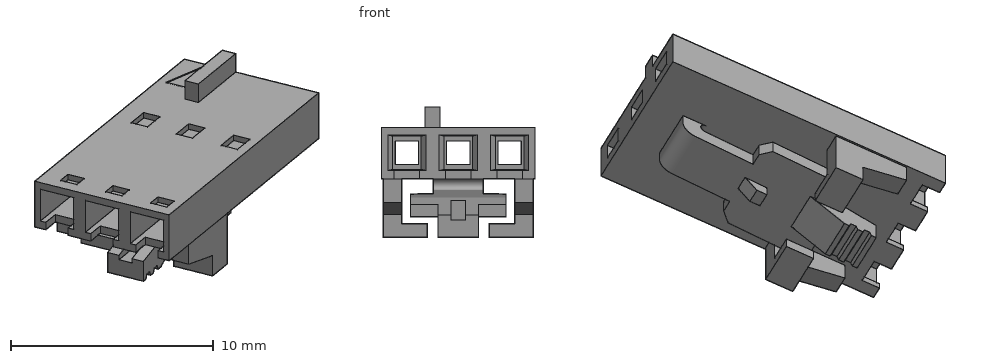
import cadquery as cq
import math


body_width = 7.59
body_length = 15.24
body_height = 2.54
contact_pitch = 2.54
contact_columns = [-contact_pitch, 0, contact_pitch]

cavity_height_center = 1.29
mouth_width = 1.88
mouth_height = 1.76
mouth_depth = 10.0
taper_end_width = 1.41
taper_end_height = 1.64
taper_length = 0.27
passage_size = 1.14

floor_slot_width = 1.26
floor_slot_length = 0.97

window_offset = 0.28
window_width = 0.92
window_depth = 0.3
front_window_start = 0.69
front_window_length = 0.76
rear_window_start = 7.89
rear_window_length = 1.27

key_left = -1.65
key_width = 0.76
key_length = 3.81
key_height = 1.02
triangle_width = 1.63
triangle_length = 2.55
triangle_rear_gap = 0.1
triangle_depth = 0.05

underside_depth = 2.89
leg_outer = 3.715
leg_thickness = 0.93
leg_rear = 6.08
leg_lower_front = 4.565
leg_upper_front = 2.135
leg_ramp_top = -1.157
leg_ramp_bottom = -1.76
foot_inner = 1.52
foot_height = 0.675

arm_rear = 13.315
arm_root_thickness = 1.0
arm_gap_radius = 0.285
arm_root_radius = 0.74
arm_angle = math.radians(3.4)
arm_slope = math.tan(arm_angle)
gap_center_y = arm_rear - arm_root_thickness - arm_gap_radius
gap_end_y = gap_center_y + arm_gap_radius * math.sin(arm_angle)
gap_end_z = -arm_gap_radius * (1 + math.cos(arm_angle))
arm_thickness = 0.865
arm_front = leg_lower_front
arm_half_width = 1.235
wing_half_width = 2.365
wing_rear = 9.4
wing_chamfer = 0.5

pad_front = 2.4
pad_half_width = 1.01
pad_front_top = -1.79
pad_slope = math.tan(math.radians(13.4))
pad_underside_slope = math.tan(math.radians(30))
pad_underside_start = 4.175
pad_slot_width = 0.74
pad_slot_floor = -2.03
pad_slot_rear = 5.45

groove_centers = [2.91, 3.67]
groove_mouth = 0.48
groove_floor = 0.29
groove_depth = 0.233

catch_width = 0.74
catch_front = 8.17
catch_tip_rear = 8.73
catch_ramp_rear = 9.39
catch_bottom = -2.285


def box(x_start, x_end, y_start, y_end, z_start, z_end):
    size = (x_end - x_start, y_end - y_start, z_end - z_start)
    corner = (x_start, y_start, z_start)
    return cq.Workplane("XY").box(*size, centered=False).translate(corner)


def side_extrusion(points, x_start, x_end):
    """Extrude a (Y, Z) outline from x_start to x_end."""
    return cq.Workplane("YZ", origin=(x_start, 0, 0)).polyline(points).close().extrude(x_end - x_start)


def arm_top(y):
    """Height of the sloping upper face of the latch arm."""
    return gap_end_z - (gap_end_y - y) * arm_slope


def arm_bottom(y):
    """Height of the latch arm's lower face, parallel to its upper face."""
    return arm_top(y) - arm_thickness


def pad_top(y):
    """Height of the ramp that rises from the pad's front edge to the arm."""
    return pad_front_top + (y - pad_front) * pad_slope


def contact_cavity(x):
    mouth = (
        cq.Workplane("XZ", origin=(x, 0, cavity_height_center))
        .rect(mouth_width, mouth_height)
        .extrude(-mouth_depth)
    )
    taper = (
        cq.Workplane("XZ", origin=(x, mouth_depth, cavity_height_center))
        .rect(mouth_width, mouth_height)
        .workplane(offset=-taper_length)
        .rect(taper_end_width, taper_end_height)
        .loft(ruled=True)
    )
    passage = (
        cq.Workplane("XZ", origin=(x, 0, cavity_height_center))
        .rect(passage_size, passage_size)
        .extrude(-body_length)
    )
    half_slot = floor_slot_width / 2
    floor_slot = box(x - half_slot, x + half_slot, 0, floor_slot_length, 0, cavity_height_center)
    return mouth.union(taper).union(passage).union(floor_slot)


def window(x, y_start, length):
    left = x + window_offset - window_width / 2
    return box(left, left + window_width, y_start, y_start + length, body_height - window_depth, body_height)


def triangle_mark():
    tip_y = body_length - triangle_rear_gap
    base_y = tip_y - triangle_length
    tip_x = -contact_pitch
    corners = [
        (tip_x, tip_y),
        (tip_x - triangle_width / 2, base_y),
        (tip_x + triangle_width / 2, base_y),
    ]
    floor = cq.Workplane("XY", origin=(0, 0, body_height - triangle_depth))
    return floor.polyline(corners).close().extrude(triangle_depth)


def housing_body():
    half_width = body_width / 2
    body = box(-half_width, half_width, 0, body_length, 0, body_height)
    for x in contact_columns:
        body = body.cut(contact_cavity(x))
        body = body.cut(window(x, front_window_start, front_window_length))
        body = body.cut(window(x, rear_window_start, rear_window_length))
    key = box(
        key_left,
        key_left + key_width,
        body_length - key_length,
        body_length,
        body_height,
        body_height + key_height,
    )
    return body.cut(triangle_mark()).union(key)


def guard_leg():
    """Leg on the +X side, with its foot turned in under the latch."""
    outline = [
        (leg_rear, 0),
        (leg_rear, -underside_depth),
        (leg_lower_front, -underside_depth),
        (leg_lower_front, leg_ramp_bottom),
        (leg_upper_front, leg_ramp_top),
        (leg_upper_front, 0),
    ]
    leg = side_extrusion(outline, leg_outer - leg_thickness, leg_outer)
    foot_top = foot_height - underside_depth
    foot = box(foot_inner, leg_outer, leg_lower_front, leg_rear, -underside_depth, foot_top)
    return leg.union(foot)


def latch_arm():
    """Side profile of the arm, trimmed to a plan that widens into chamfered wings."""
    ramp_end_y = (arm_top(0) - pad_top(0)) / (pad_slope - arm_slope)
    profile = (
        cq.Workplane("YZ", origin=(-wing_half_width, 0, 0))
        .moveTo(gap_center_y, 0)
        .threePointArc(
            (gap_center_y + arm_gap_radius, -arm_gap_radius),
            (gap_end_y, gap_end_z),
        )
        .lineTo(ramp_end_y, arm_top(ramp_end_y))
        .lineTo(arm_front, pad_top(arm_front))
        .lineTo(arm_front, arm_bottom(arm_front))
        .lineTo(arm_rear, arm_bottom(arm_rear))
        .lineTo(arm_rear, 0)
        .close()
        .extrude(2 * wing_half_width)
    )
    root_corner = cq.selectors.NearestToPointSelector((0, arm_rear, arm_bottom(arm_rear)))
    profile = profile.edges(root_corner).fillet(arm_root_radius)
    half_plan = [
        (arm_half_width, arm_rear),
        (arm_half_width, wing_rear),
        (wing_half_width - wing_chamfer, wing_rear),
        (wing_half_width, wing_rear - wing_chamfer),
        (wing_half_width, arm_front),
    ]
    mirrored = [(-x, y) for x, y in reversed(half_plan)]
    plan = (
        cq.Workplane("XY", origin=(0, 0, -underside_depth))
        .polyline(half_plan + mirrored)
        .close()
        .extrude(underside_depth)
    )
    return profile.intersect(plan)


def press_pad():
    """Grooved tongue in front of and below the arm."""
    start_gap = arm_bottom(pad_underside_start) + underside_depth
    rear_y = pad_underside_start + start_gap / (pad_underside_slope - arm_slope)
    outline = [
        (pad_front, pad_front_top),
        (pad_front, -underside_depth),
        (pad_underside_start, -underside_depth),
        (rear_y, arm_bottom(rear_y)),
        (arm_front, pad_top(arm_front)),
    ]
    pad = side_extrusion(outline, -pad_half_width, pad_half_width)
    for y in groove_centers:
        groove = [
            (y - groove_mouth / 2, -underside_depth),
            (y - groove_floor / 2, groove_depth - underside_depth),
            (y + groove_floor / 2, groove_depth - underside_depth),
            (y + groove_mouth / 2, -underside_depth),
        ]
        pad = pad.cut(side_extrusion(groove, -pad_half_width, pad_half_width))
    return pad


def catch():
    outline = [
        (catch_front, arm_top(catch_front) - arm_thickness / 2),
        (catch_front, catch_bottom),
        (catch_tip_rear, catch_bottom),
        (catch_ramp_rear, arm_bottom(catch_ramp_rear)),
        (catch_ramp_rear, arm_top(catch_ramp_rear) - arm_thickness / 2),
    ]
    return side_extrusion(outline, -catch_width / 2, catch_width / 2)


def latch():
    half_slot = pad_slot_width / 2
    pad_slot = box(-half_slot, half_slot, pad_front, pad_slot_rear, pad_slot_floor, 0)
    return latch_arm().union(press_pad()).union(catch()).cut(pad_slot)


leg = guard_leg()
result = housing_body().union(latch()).union(leg).union(leg.mirror("YZ"))